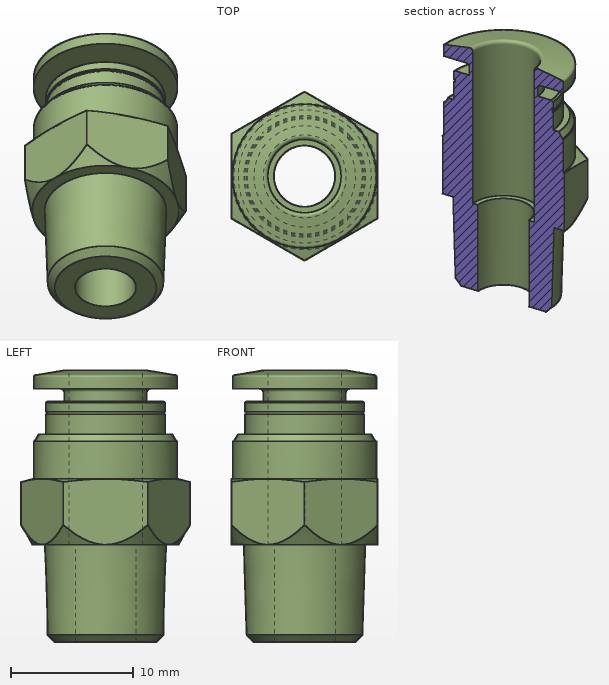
import cadquery as cq
import math

hex_bottom = 8.0
hex_top = 13.4
body_top = 17.05
collar_groove_bottom = 18.7
collar_groove_top = 18.9
collar_top = 19.75
flange_bottom = 20.75
total_height = 22.3

shank_top_radius = 4.99
shank_taper = 1 / 16
shank_chamfer = 0.6

across_flats = 12.0
hex_bottom_chamfer_angle = 60.0
hex_top_chamfer_angle = 15.0
hex_half_sector = 30.0
envelope_clearance = 0.5

body_radius = 11.8 / 2
body_step_width = 0.1
body_chamfer_height = 0.57
body_chamfer_angle = 59.0
collar_radius = 9.8 / 2
collar_chamfer_width = 0.18
collar_chamfer_height = 0.12
collar_groove_radius = 9.6 / 2

neck_radius = 6.8 / 2
neck_fillet = 0.25
flange_radius = 11.8 / 2
flange_cone_angle = 9.5
flange_fillet = 0.2

tube_radius = 6.0 / 2
tube_mouth_fillet = 0.3
through_radius = 5.0 / 2


def rise(width, angle):
    """Height climbed by a cone over a radial width, at an angle in degrees."""
    return width * math.tan(math.radians(angle))


def revolve_profile(points):
    """Solid of revolution about Z from (radius, height) points."""
    return cq.Workplane("XZ").polyline(points).close().revolve(360, (0, 0, 0), (0, 1, 0))


def make_shank():
    """Tapered shank with a 45 degree chamfer at its free end."""
    bottom_radius = shank_top_radius - hex_bottom * shank_taper / 2
    chamfer_radius = bottom_radius + shank_chamfer * shank_taper / 2
    return revolve_profile([
        (0, 0),
        (chamfer_radius - shank_chamfer, 0),
        (chamfer_radius, shank_chamfer),
        (shank_top_radius, hex_bottom),
        (0, hex_bottom),
    ])


def make_hexagon():
    """Hexagon with corners on Y, trimmed by a cone at each end."""
    flat_radius = across_flats / 2
    corner_radius = flat_radius / math.cos(math.radians(hex_half_sector))
    prism = (
        cq.Workplane("XY", origin=(0, 0, hex_bottom))
        .polygon(6, 2 * corner_radius)
        .extrude(hex_top - hex_bottom)
        .rotate((0, 0, 0), (0, 0, 1), hex_half_sector)
    )
    cone_radius = corner_radius + envelope_clearance
    bottom_cone_height = rise(cone_radius - flat_radius, hex_bottom_chamfer_angle)
    top_cone_height = rise(cone_radius - body_radius, hex_top_chamfer_angle)
    envelope = revolve_profile([
        (0, hex_bottom),
        (flat_radius, hex_bottom),
        (cone_radius, hex_bottom + bottom_cone_height),
        (cone_radius, hex_top - top_cone_height),
        (body_radius, hex_top),
        (0, hex_top),
    ])
    return prism.intersect(envelope)


def make_body():
    """Cylinder with a narrow step at the foot of its top chamfer."""
    step_radius = body_radius - body_step_width
    chamfer_width = body_chamfer_height / math.tan(math.radians(body_chamfer_angle))
    return revolve_profile([
        (0, hex_top),
        (body_radius, hex_top),
        (body_radius, body_top - body_chamfer_height),
        (step_radius, body_top - body_chamfer_height),
        (step_radius - chamfer_width, body_top),
        (0, body_top),
    ])


def make_collar():
    """Collar with a fine groove and a chamfered top edge."""
    return revolve_profile([
        (0, body_top),
        (collar_radius, body_top),
        (collar_radius, collar_groove_bottom),
        (collar_groove_radius, collar_groove_bottom),
        (collar_groove_radius, collar_groove_top),
        (collar_radius, collar_groove_top),
        (collar_radius, collar_top - collar_chamfer_height),
        (collar_radius - collar_chamfer_width, collar_top),
        (0, collar_top),
    ])


def make_button():
    """Neck and flange of the release button, with a shallow conical top."""
    mouth_radius = tube_radius + tube_mouth_fillet
    edge_height = total_height - rise(flange_radius - mouth_radius, flange_cone_angle)
    flange = revolve_profile([
        (0, flange_bottom),
        (flange_radius, flange_bottom),
        (flange_radius, edge_height),
        (mouth_radius, total_height),
        (0, total_height),
    ])
    outer_rim = flange.faces("%CONE").edges("<Z")
    flange = outer_rim.fillet(flange_fillet)
    neck = (
        cq.Workplane("XZ")
        .moveTo(0, collar_top)
        .lineTo(neck_radius, collar_top)
        .lineTo(neck_radius, flange_bottom - neck_fillet)
        .radiusArc((neck_radius + neck_fillet, flange_bottom), neck_fillet)
        .lineTo(0, flange_bottom)
        .close()
        .revolve(360, (0, 0, 0), (0, 1, 0))
    )
    return flange.union(neck)


def make_bore():
    """Tube socket with a rounded mouth, down to the foot of the hexagon, then a through hole."""
    mouth_radius = tube_radius + tube_mouth_fillet
    return (
        cq.Workplane("XZ")
        .lineTo(through_radius, 0)
        .lineTo(through_radius, hex_bottom)
        .lineTo(tube_radius, hex_bottom)
        .lineTo(tube_radius, total_height - tube_mouth_fillet)
        .radiusArc((mouth_radius, total_height), tube_mouth_fillet)
        .lineTo(0, total_height)
        .close()
        .revolve(360, (0, 0, 0), (0, 1, 0))
    )


result = (
    make_shank()
    .union(make_hexagon())
    .union(make_body())
    .union(make_collar())
    .union(make_button())
    .cut(make_bore())
)